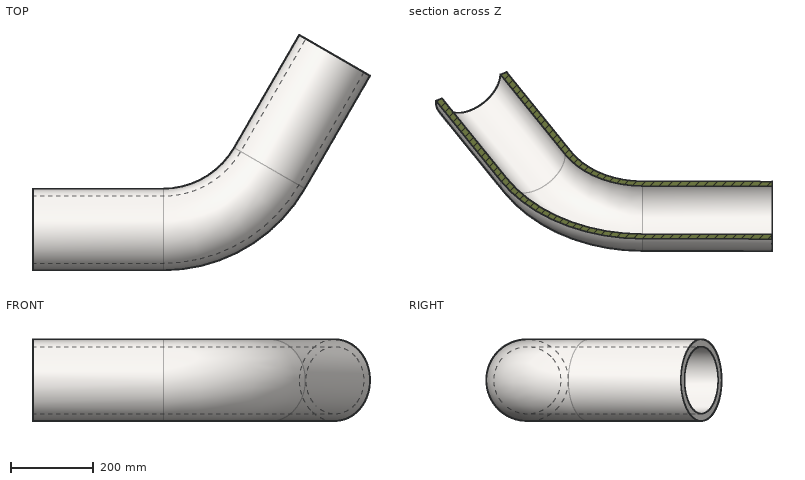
import cadquery as cq
import math

outer_diameter = 200.0
inner_diameter = 163.5
leg_length = 317.0
bend_radius = 1.5 * outer_diameter
bend_angle = 60.0


def centreline_path():
    """Straight leg along +X, an arc turning toward +Y, then a second straight leg."""
    def arc_point(angle_degrees):
        angle = math.radians(angle_degrees)
        return (
            leg_length + bend_radius * math.sin(angle),
            bend_radius * (1 - math.cos(angle)),
        )

    return (
        cq.Workplane("XY")
        .lineTo(leg_length, 0)
        .threePointArc(arc_point(bend_angle / 2), arc_point(bend_angle))
        .polarLine(leg_length, bend_angle)
    )


pipe_section = cq.Workplane("YZ").circle(outer_diameter / 2).circle(inner_diameter / 2)
result = pipe_section.sweep(centreline_path())